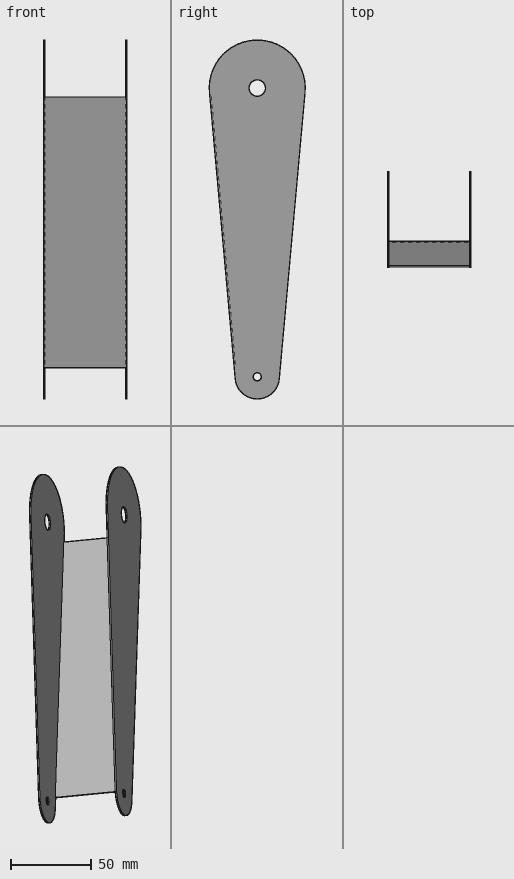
import cadquery as cq
import math

overall_length = 224.0
overall_width = 52.0
top_radius = 30.0
bottom_radius = 14.0
sheet_thickness = 1.0
top_hole_diameter = 10.0
bottom_hole_diameter = 5.0
web_bottom = 19.5
web_top = 188.4

bottom_center_z = bottom_radius
top_center_z = overall_length - top_radius
center_distance = top_center_z - bottom_center_z

taper = math.asin((top_radius - bottom_radius) / center_distance)


def edge_point(radius, center_z):
    """Tangent point (Y, Z) of the +Y straight edge on an end arc."""
    return radius * math.cos(taper), center_z - radius * math.sin(taper)


def front_edge_y(z):
    """Y of the -Y straight edge at height z."""
    y, tangent_z = edge_point(bottom_radius, bottom_center_z)
    return -y - (z - tangent_z) * math.tan(taper)


def side_plate(start_x):
    """Tapered plate with rounded ends and a pivot hole at each end."""
    top_y, top_z = edge_point(top_radius, top_center_z)
    bottom_y, bottom_z = edge_point(bottom_radius, bottom_center_z)
    plane = cq.Workplane("YZ", origin=(start_x, 0, 0))
    plate = (
        plane.moveTo(bottom_y, bottom_z)
        .lineTo(top_y, top_z)
        .threePointArc((0, overall_length), (-top_y, top_z))
        .lineTo(-bottom_y, bottom_z)
        .threePointArc((0, 0), (bottom_y, bottom_z))
        .close()
        .extrude(sheet_thickness)
    )
    top_hole = plane.center(0, top_center_z).circle(top_hole_diameter / 2).extrude(sheet_thickness)
    bottom_hole = plane.center(0, bottom_center_z).circle(bottom_hole_diameter / 2).extrude(sheet_thickness)
    return plate.cut(top_hole).cut(bottom_hole)


def web():
    """Sloping sheet that joins the plates along their -Y edges, with square-cut ends."""
    inward_y = sheet_thickness * math.cos(taper)
    inward_z = sheet_thickness * math.sin(taper)
    lower_y = front_edge_y(web_bottom)
    upper_y = front_edge_y(web_top)
    return (
        cq.Workplane("YZ", origin=(-overall_width / 2, 0, 0))
        .polyline([
            (lower_y, web_bottom),
            (upper_y, web_top),
            (upper_y + inward_y, web_top + inward_z),
            (lower_y + inward_y, web_bottom + inward_z),
        ])
        .close()
        .extrude(overall_width)
    )


left_plate = side_plate(-overall_width / 2)
right_plate = side_plate(overall_width / 2 - sheet_thickness)
result = left_plate.union(right_plate).union(web())